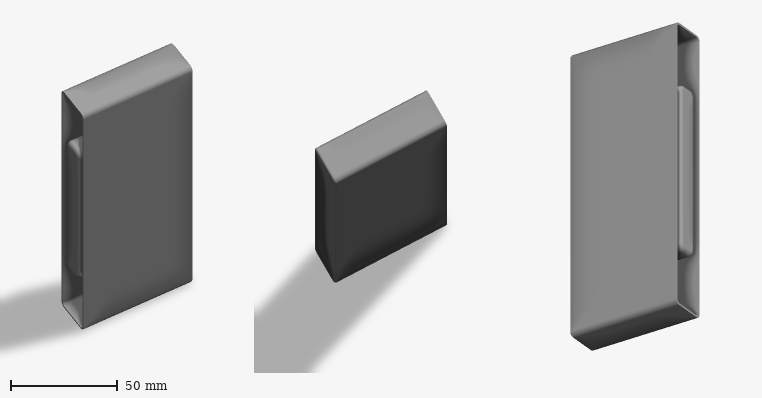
import cadquery as cq

width = 20.0
depth = 60.0
height = 150.0
wall = 1.0
corner_radius = 2.5
back_edge_radius = 1.0

block_width = 11.7
block_height = 88.0
block_corner_radius = 3.5
block_edge_radius = 2.1

back_y = depth / 2
front_y = -depth / 2
floor_y = back_y - wall


def rounded_bar(size_x, size_z, radius, start_y, end_y):
    """Bar along Y with its four lengthwise edges rounded."""
    length = end_y - start_y
    bar = cq.Workplane("XY").box(size_x, length, size_z)
    return bar.edges("|Y").fillet(radius).translate((0, (start_y + end_y) / 2, 0))


def make_sleeve():
    outer = rounded_bar(width, height, corner_radius, front_y, back_y)
    outer = outer.faces(">Y").edges().fillet(back_edge_radius)
    cavity = rounded_bar(
        width - 2 * wall, height - 2 * wall, corner_radius - wall, front_y, floor_y
    )
    return outer.cut(cavity)


def make_block():
    block = rounded_bar(block_width, block_height, block_corner_radius, front_y, back_y)
    return block.faces("<Y").edges().fillet(block_edge_radius)


result = make_sleeve().union(make_block())